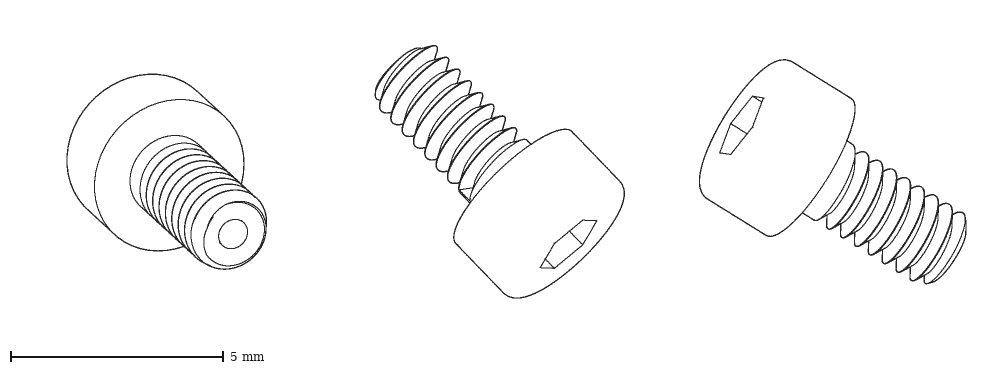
import cadquery as cq
import math

total_length = 5.93
head_diameter = 3.8
head_length = 1.935
head_edge_radius = 0.25

socket_across_flats = 1.55
socket_depth = 1.0
bore_diameter = 0.735

thread_diameter = 2.0
thread_radius = thread_diameter / 2
thread_pitch = thread_diameter / 5
thread_depth = 0.295
thread_start = 2.555
crest_flat = 0.02
groove_overshoot = 0.01
tip_chamfer = 0.2
rod_excess = 4 * thread_pitch


def make_head():
    head = cq.Workplane("YZ").circle(head_diameter / 2).extrude(head_length)
    return head.faces("<X").edges().fillet(head_edge_radius)


def make_rod(length):
    """Plain rod of the thread's crest diameter, starting at the underside of the head."""
    return cq.Workplane("YZ", origin=(head_length, 0, 0)).circle(thread_radius).extrude(length)


def make_thread_groove():
    """V-shaped right-hand helical cutter, starting on the +Y side and running out past the tip."""
    root_radius = thread_radius - thread_depth
    helix_length = total_length - thread_start + thread_pitch
    helix = cq.Wire.makeHelix(thread_pitch, helix_length, root_radius)

    outer_radius = thread_radius + groove_overshoot
    half_width = (thread_pitch - crest_flat) / 2
    outer_half_width = half_width * (outer_radius - root_radius) / thread_depth
    profile = cq.Workplane("XZ").polyline([
        (root_radius, 0),
        (outer_radius, outer_half_width),
        (outer_radius, -outer_half_width),
    ]).close()
    groove = profile.sweep(cq.Workplane(obj=helix), isFrenet=True)

    groove = groove.rotate((0, 0, 0), (0, 1, 0), 90)
    groove = groove.rotate((0, 0, 0), (1, 0, 0), 90)
    return groove.translate((thread_start, 0, 0))


def make_threaded_shank():
    shank_length = total_length - head_length
    threaded_rod = make_rod(shank_length + rod_excess).cut(make_thread_groove())
    envelope = make_rod(shank_length).faces(">X").edges().chamfer(tip_chamfer)
    return threaded_rod.intersect(envelope)


def make_socket():
    across_corners = socket_across_flats / math.cos(math.pi / 6)
    return cq.Workplane("YZ").polygon(6, across_corners).extrude(socket_depth)


def make_bore():
    return cq.Workplane("YZ").circle(bore_diameter / 2).extrude(total_length)


result = make_head().union(make_threaded_shank()).cut(make_socket()).cut(make_bore())